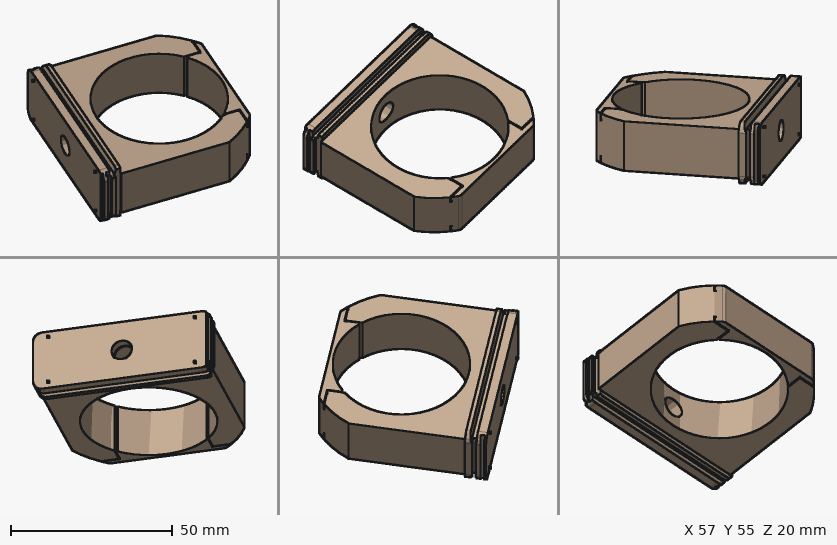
import cadquery as cq
import math

bore_diameter = 42.5
block_width = 55.3
block_height = 16.0
block_back = 22.6
block_front = 25.15
shoulder_y = 11.5
back_edge_width = 36.95
shoulder_radius = 31.9
back_corner_radius = 1.7

slit_width = 0.2
cap_foot_width = 29.65
cap_foot_y = 15.85
slit_y = 20.4
slit_depth = 2.3

plate_length = 57.0
plate_thickness = 6.7
plate_height = 20.0
plate_corner_radius = 3.0
plate_front_y = -block_front - plate_thickness
left_end = -plate_length / 2
tongue_length = 1.55
shoulder_x = plate_length / 2 - tongue_length

groove_start = 2.0
groove_end = 3.65
groove_floor_z = 7.8
groove_slope = 15.0

rail_offsets = (2.9, 5.5)
head_inset = 1.2
slot_head_diameter = 1.55
slot_neck_width = 1.1
tongue_head_diameter = 1.5
tongue_neck_width = 1.0

hole_diameter = 6.5
wide_hole_diameter = 6.95
wide_hole_start = 3.65

pin_diameter = 0.7
pin_length = 0.55
pin_spacing_x = 47.1
pin_spacing_z = 15.95


def box(x_min, x_max, y_min, y_max, z_min, z_max):
    """Axis-aligned box between the given limits."""
    size = (x_max - x_min, y_max - y_min, z_max - z_min)
    return cq.Workplane("XY").box(*size, centered=False).translate((x_min, y_min, z_min))


def make_block():
    """Block with curved shoulders at the back."""
    half_width = block_width / 2
    half_back = back_edge_width / 2
    block = (
        cq.Workplane("XY")
        .workplane(offset=-block_height / 2)
        .moveTo(-half_width, -block_front)
        .lineTo(half_width, -block_front)
        .lineTo(half_width, shoulder_y)
        .radiusArc((half_back, block_back), -shoulder_radius)
        .lineTo(-half_back, block_back)
        .radiusArc((-half_width, shoulder_y), -shoulder_radius)
        .close()
        .extrude(block_height)
    )
    return block.edges("|Z and >Y").fillet(back_corner_radius)


def cut_bore(block):
    """Bore through the block along Z."""
    return block.cut(cq.Workplane("XY").circle(bore_diameter / 2).extrude(block_height, both=True))


def cut_cap_slits(block):
    """L-shaped slits on both sides; a web between the crosswise legs holds the cap."""
    half_foot = cap_foot_width / 2
    half_height = block_height / 2
    slit_top = slit_y + slit_width
    slit_floor = half_height - slit_depth
    upright = box(half_foot, half_foot + slit_width, 0, slit_top, -half_height, half_height)
    foot_trim = box(0, half_foot, 0, cap_foot_y, -half_height, half_height)
    crosswise = box(half_foot, block_width / 2, slit_y, slit_top, slit_floor, half_height)
    slits = upright.union(foot_trim).union(crosswise).union(crosswise.mirror("XY"))
    return block.cut(slits).cut(slits.mirror("YZ"))


def make_plate():
    """Mounting plate with rounded corners."""
    return (
        box(left_end, -left_end, plate_front_y, -block_front, -plate_height / 2, plate_height / 2)
        .edges("|Y")
        .fillet(plate_corner_radius)
    )


def cut_edge_grooves(plate):
    """Grooves along the whole top and bottom edges."""
    depth = plate_height / 2 - groove_floor_z
    run = depth * math.tan(math.radians(groove_slope))
    groove = (
        cq.Workplane("YZ")
        .moveTo(-block_front - groove_start, groove_floor_z)
        .lineTo(-block_front - groove_start + run, groove_floor_z + depth)
        .lineTo(-block_front - groove_end, groove_floor_z + depth)
        .lineTo(-block_front - groove_end, groove_floor_z)
        .close()
        .extrude(plate_length / 2, both=True)
    )
    return plate.cut(groove).cut(groove.mirror("XY"))


def rail(end_x, y, head_diameter, neck_width):
    """Bar along Z with a neck starting at end_x and a round head towards +X."""
    head_x = end_x + head_inset
    head = cq.Workplane("XY").center(head_x, y).circle(head_diameter / 2)
    neck = cq.Workplane("XY").center((end_x + head_x) / 2, y).rect(head_inset, neck_width)
    return head.extrude(plate_height, both=True).union(neck.extrude(plate_height, both=True))


def cut_rails(plate):
    """Keyhole slots at the left end, tongues left standing at the right end."""
    waste = box(shoulder_x, plate_length, plate_front_y, -block_front, -plate_height, plate_height)
    for offset in rail_offsets:
        y = -block_front - offset
        plate = plate.cut(rail(left_end, y, slot_head_diameter, slot_neck_width))
        waste = waste.cut(rail(shoulder_x, y, tongue_head_diameter, tongue_neck_width))
    return plate.cut(waste)


def make_front_hole():
    """Stepped hole along Y from the front face of the plate to the bore axis."""
    step_y = plate_front_y + wide_hole_start
    narrow = cq.Workplane("XZ", origin=(0, plate_front_y, 0)).circle(hole_diameter / 2)
    wide = cq.Workplane("XZ", origin=(0, step_y, 0)).circle(wide_hole_diameter / 2)
    return narrow.extrude(plate_front_y).union(wide.extrude(step_y))


def make_pins():
    """Four locating pins on the front face."""
    return (
        cq.Workplane("XZ", origin=(0, plate_front_y, 0))
        .rarray(pin_spacing_x, pin_spacing_z, 2, 2)
        .circle(pin_diameter / 2)
        .extrude(pin_length)
    )


block = cut_cap_slits(cut_bore(make_block()))
plate = cut_rails(cut_edge_grooves(make_plate()))
result = block.union(plate).cut(make_front_hole()).union(make_pins())